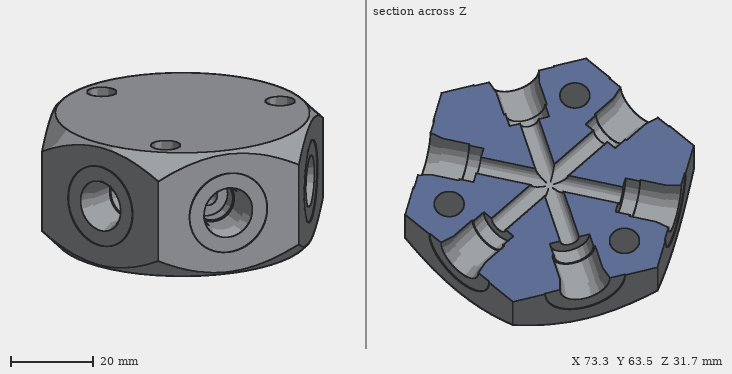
import cadquery as cq
import math

side_count = 6
across_corners = 73.3
across_flats = across_corners * math.cos(math.pi / side_count)
height = across_flats / 2
face_circle_radius = 31.0

mounting_hole_count = 3
mounting_hole_diameter = 7.2
mounting_circle_radius = 25.45

spotface_diameter = 20.2
spotface_depth = 0.2
mouth_diameter = 12.6
thread_diameter = 10.8
drill_diameter = 10.0
passage_diameter = 4.7
mouth_depth = 3.6
thread_depth = 10.3
drill_depth = 13.85


def make_body():
    """Hexagonal prism with its corners turned off at 45 degrees at both ends."""
    prism = (
        cq.Workplane("XY")
        .polygon(side_count, across_corners)
        .extrude(height / 2, both=True)
    )
    corner_radius = across_corners / 2
    chamfer = corner_radius - face_circle_radius
    envelope = (
        cq.Workplane("XY")
        .circle(corner_radius)
        .extrude(height / 2, both=True)
        .edges()
        .chamfer(chamfer)
    )
    return prism.intersect(envelope)


def make_port():
    """Stepped port cavity entering the -Y face, with its passage reaching the centre."""
    face = -across_flats / 2
    outline = [
        (0, face),
        (spotface_diameter / 2, face),
        (spotface_diameter / 2, face + spotface_depth),
        (mouth_diameter / 2, face + spotface_depth),
        (thread_diameter / 2, face + mouth_depth),
        (thread_diameter / 2, face + thread_depth),
        (drill_diameter / 2, face + thread_depth),
        (drill_diameter / 2, face + drill_depth),
        (passage_diameter / 2, face + drill_depth),
        (passage_diameter / 2, 0),
        (0, 0),
    ]
    return cq.Workplane("XY").polyline(outline).close().revolve(360, (0, 0), (0, 1))


def make_mounting_holes():
    """Through holes on a circle, the first one towards -X."""
    return (
        cq.Workplane("XY")
        .polarArray(mounting_circle_radius, 180, 360, mounting_hole_count)
        .circle(mounting_hole_diameter / 2)
        .extrude(height, both=True)
    )


result = make_body().cut(make_mounting_holes())
port = make_port()
for index in range(side_count):
    angle = index * 360 / side_count
    result = result.cut(port.rotate((0, 0, 0), (0, 0, 1), angle))